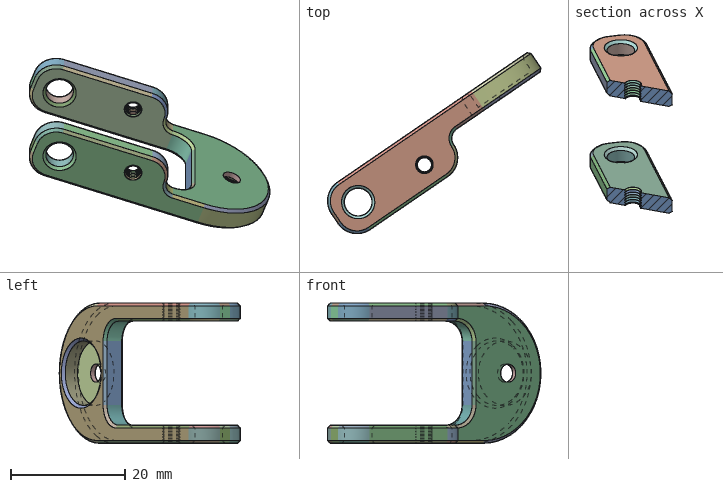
import cadquery as cq
import math

FORK_ANGLE = 34.33

FORK_HEIGHT = 24.6
LEG_THICKNESS = 3.2
BACK_V = 4.93
EDGE_CHAMFER = 0.5

LEG_START_U = -5.03
LEG_END_U = 19.5
LEG_CORNER_RADIUS = 4.0
NECK_RADIUS = 2.0

HEAD_THICKNESS = 4.1
HEAD_CENTER_U = 27.4

OPENING_END_U = 25.06
OPENING_CORNER_RADIUS = 3.5

PIVOT_DIAMETER = 4.83

THREAD_U = 13.27
THREAD_V = -1.15
THREAD_MINOR_DIAMETER = 2.46
THREAD_MAJOR_DIAMETER = 3.09
THREAD_PITCH = 0.5

POCKET_U = 32.4
POCKET_DIAMETER = 11.3
POCKET_FLOOR = 1.0
HEAD_HOLE_DIAMETER = 3.17

MATCH_TOLERANCE = 1e-4
ALIGNED_COSINE = 0.99

LEG_WIDTH = HEAD_THICKNESS + NECK_RADIUS + LEG_CORNER_RADIUS
LEG_FRONT_V = BACK_V - LEG_WIDTH
HEAD_FRONT_V = BACK_V - HEAD_THICKNESS
HALF_HEIGHT = FORK_HEIGHT / 2
HEAD_TIP_U = HEAD_CENTER_U + HALF_HEIGHT
OPENING_HALF_HEIGHT = HALF_HEIGHT - LEG_THICKNESS
LEG_FACES_Z = [
    (-HALF_HEIGHT, 1),
    (-OPENING_HALF_HEIGHT, -1),
    (OPENING_HALF_HEIGHT, 1),
    (HALF_HEIGHT, -1),
]


def plan_block():
    """Stepped leg-and-head outline in the u-v plane, over the full height."""
    corner = LEG_CORNER_RADIUS
    leg_front_corner_v = LEG_FRONT_V + corner
    return (
        cq.Workplane("XY")
        .workplane(offset=-HALF_HEIGHT)
        .moveTo(HEAD_TIP_U, BACK_V)
        .lineTo(LEG_START_U + corner, BACK_V)
        .radiusArc((LEG_START_U, BACK_V - corner), -corner)
        .lineTo(LEG_START_U, leg_front_corner_v)
        .radiusArc((LEG_START_U + corner, LEG_FRONT_V), -corner)
        .lineTo(LEG_END_U - corner, LEG_FRONT_V)
        .radiusArc((LEG_END_U, leg_front_corner_v), -corner)
        .radiusArc((LEG_END_U + NECK_RADIUS, HEAD_FRONT_V), NECK_RADIUS)
        .lineTo(HEAD_TIP_U, HEAD_FRONT_V)
        .close()
        .extrude(FORK_HEIGHT)
    )


def side_block():
    """U-shaped side outline in the u-Z plane, across the full leg width."""
    opening_corner_u = OPENING_END_U - OPENING_CORNER_RADIUS
    opening_corner_z = OPENING_HALF_HEIGHT - OPENING_CORNER_RADIUS
    return (
        cq.Workplane("XZ", origin=(0, BACK_V, 0))
        .moveTo(LEG_START_U, HALF_HEIGHT)
        .lineTo(HEAD_CENTER_U, HALF_HEIGHT)
        .threePointArc((HEAD_TIP_U, 0), (HEAD_CENTER_U, -HALF_HEIGHT))
        .lineTo(LEG_START_U, -HALF_HEIGHT)
        .lineTo(LEG_START_U, -OPENING_HALF_HEIGHT)
        .lineTo(opening_corner_u, -OPENING_HALF_HEIGHT)
        .radiusArc((OPENING_END_U, -opening_corner_z), -OPENING_CORNER_RADIUS)
        .lineTo(OPENING_END_U, opening_corner_z)
        .radiusArc((opening_corner_u, OPENING_HALF_HEIGHT), -OPENING_CORNER_RADIUS)
        .lineTo(LEG_START_U, OPENING_HALF_HEIGHT)
        .close()
        .extrude(LEG_WIDTH)
    )


def is_rim_edge(edge):
    """True for the sharp rim edges, false for the seams between tangent faces."""
    if edge.geomType() != "LINE":
        return True
    direction = edge.tangentAt(0)
    edge_u = edge.Center().x
    if abs(direction.z) > ALIGNED_COSINE:
        return math.isclose(edge_u, OPENING_END_U, abs_tol=MATCH_TOLERANCE)
    if abs(direction.y) > ALIGNED_COSINE:
        return math.isclose(edge_u, LEG_START_U, abs_tol=MATCH_TOLERANCE)
    return True


def chamfered_fork():
    """Fork body with every rim edge chamfered."""
    body = plan_block().intersect(side_block()).val().Solids()[0]
    rim_edges = [edge for edge in body.Edges() if is_rim_edge(edge)]
    return cq.Workplane(obj=body.chamfer(EDGE_CHAMFER, None, rim_edges))


def rim_cone(center, inward, diameter):
    """Cone that chamfers the rim of a round hole entered at center along inward."""
    radius = diameter / 2
    cone = cq.Solid.makeCone(
        radius + EDGE_CHAMFER, radius, EDGE_CHAMFER, cq.Vector(*center), cq.Vector(*inward)
    )
    return cq.Workplane(obj=cone)


def cut_pivot_holes(body):
    """Chamfered pivot hole through both legs."""
    body = body.cut(cq.Workplane("XY").circle(PIVOT_DIAMETER / 2).extrude(HALF_HEIGHT, both=True))
    for z, inward in LEG_FACES_Z:
        body = body.cut(rim_cone((0, 0, z), (0, 0, inward), PIVOT_DIAMETER))
    return body


def thread_cutter():
    """Threaded bore through one leg, as V-shaped rings one pitch apart, centred on Z = 0."""
    minor_radius = THREAD_MINOR_DIAMETER / 2
    major_radius = THREAD_MAJOR_DIAMETER / 2
    ring_count = math.ceil(LEG_THICKNESS / THREAD_PITCH)
    bottom = -ring_count * THREAD_PITCH / 2
    profile = cq.Workplane("XZ").moveTo(0, bottom).lineTo(minor_radius, bottom)
    for ring in range(ring_count):
        ring_bottom = bottom + ring * THREAD_PITCH
        profile = profile.lineTo(major_radius, ring_bottom + THREAD_PITCH / 2)
        profile = profile.lineTo(minor_radius, ring_bottom + THREAD_PITCH)
    return profile.lineTo(0, -bottom).close().revolve(360, (0, 0, 0), (0, 1, 0))


def cut_threaded_holes(body):
    """Threaded hole through both legs."""
    cutter = thread_cutter()
    leg_middle_z = HALF_HEIGHT - LEG_THICKNESS / 2
    for z in (-leg_middle_z, leg_middle_z):
        body = body.cut(cutter.translate((THREAD_U, THREAD_V, z)))
    return body


def cut_head_pocket(body):
    """Chamfered round pocket in the back of the head, with a hole through its floor."""
    back_plane = cq.Workplane("XZ", origin=(POCKET_U, BACK_V, 0))
    pocket = back_plane.circle(POCKET_DIAMETER / 2).extrude(HEAD_THICKNESS - POCKET_FLOOR)
    pocket_rim = rim_cone((POCKET_U, BACK_V, 0), (0, -1, 0), POCKET_DIAMETER)
    floor_hole = back_plane.circle(HEAD_HOLE_DIAMETER / 2).extrude(HEAD_THICKNESS)
    return body.cut(pocket).cut(pocket_rim).cut(floor_hole)


fork = chamfered_fork()
fork = cut_pivot_holes(fork)
fork = cut_threaded_holes(fork)
fork = cut_head_pocket(fork)

result = fork.rotate((0, 0, 0), (0, 0, 1), FORK_ANGLE)